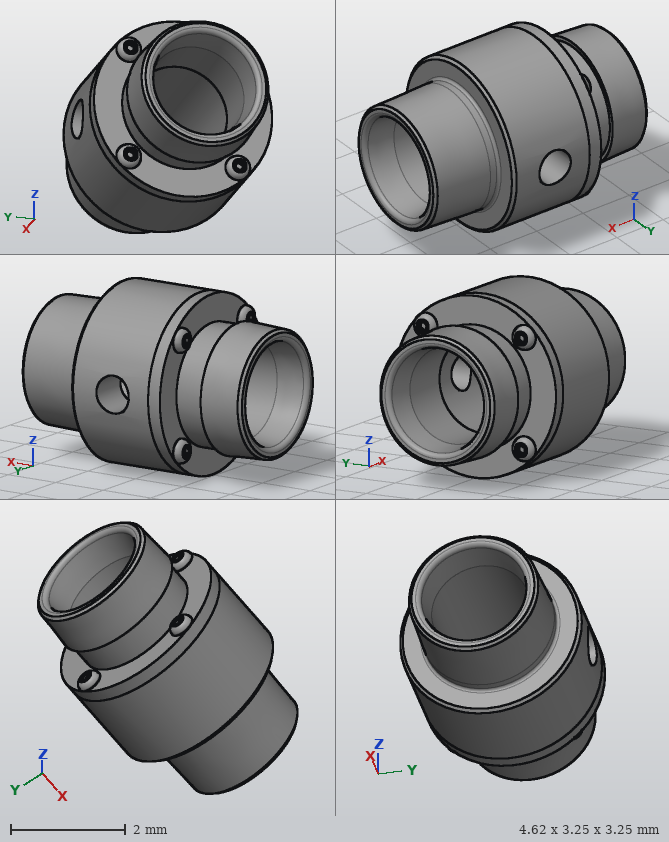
import cadquery as cq
import math

LENGTH = 4.62
INLET_BARB_END = 0.81
COVER_START = 1.37
COVER_THICKNESS = 0.25
JOINT = COVER_START + COVER_THICKNESS
HOUSING_END = 3.26
OUTLET_LAND_END = 3.45

BODY_RADIUS = 3.25 / 2
BORE_RADIUS = 1.75 / 2
NECK_RADIUS = 2.22 / 2
BARB_RADIUS = 2.385 / 2
TIP_RADIUS = 1.155

TIP_CHAMFER = 0.055
LIP_ROUND = 0.09
MOUTH_RADIUS = 0.94
MOUTH_DEPTH = 0.6

HOUSING_CHAMFER = 0.06
ROOT_FILLET = 0.055

QUARTER_ROUND_INSET = 1 - math.sqrt(0.5)
LIP_MIDDLE = LIP_ROUND * QUARTER_ROUND_INSET
ROOT_MIDDLE = ROOT_FILLET * QUARTER_ROUND_INSET

PORT_DIAMETER = 0.68
PORT_X = 2.37

SCREW_OFFSET = 0.995
HEAD_DIAMETER = 0.445
HEAD_TOP_DIAMETER = 0.25
HEAD_HEIGHT = 0.135
HEAD_RIM = 0.03
DOME_BULGE = 0.025
SOCKET_FLATS = 0.14
SOCKET_MOUTH_DIAMETER = 0.185
SOCKET_DEPTH = 0.07


def revolve_about_x(profile):
    """Turn a closed (x, radius) profile into a round body about the X axis."""
    return profile.close().revolve(360, (0, 0, 0), (1, 0, 0))


def make_cover():
    """Inlet barb, neck and round cover plate in one piece."""
    profile = (
        cq.Workplane("XY")
        .moveTo(0, MOUTH_RADIUS + LIP_ROUND)
        .lineTo(0, TIP_RADIUS - TIP_CHAMFER)
        .lineTo(TIP_CHAMFER, TIP_RADIUS)
        .lineTo(INLET_BARB_END, BARB_RADIUS)
        .lineTo(INLET_BARB_END, NECK_RADIUS)
        .lineTo(COVER_START, NECK_RADIUS)
        .lineTo(COVER_START, BODY_RADIUS)
        .lineTo(JOINT, BODY_RADIUS)
        .lineTo(JOINT, BORE_RADIUS)
        .lineTo(MOUTH_DEPTH, BORE_RADIUS)
        .lineTo(LIP_ROUND, MOUTH_RADIUS)
        .threePointArc((LIP_MIDDLE, MOUTH_RADIUS + LIP_MIDDLE), (0, MOUTH_RADIUS + LIP_ROUND))
    )
    return revolve_about_x(profile)


def make_housing():
    """Round housing with the outlet barb and a radial port into the bore."""
    profile = (
        cq.Workplane("XY")
        .moveTo(JOINT, BORE_RADIUS)
        .lineTo(JOINT, BODY_RADIUS)
        .lineTo(HOUSING_END - HOUSING_CHAMFER, BODY_RADIUS)
        .lineTo(HOUSING_END, BODY_RADIUS - HOUSING_CHAMFER)
        .lineTo(HOUSING_END, BARB_RADIUS + ROOT_FILLET)
        .threePointArc(
            (HOUSING_END + ROOT_MIDDLE, BARB_RADIUS + ROOT_MIDDLE),
            (HOUSING_END + ROOT_FILLET, BARB_RADIUS),
        )
        .lineTo(OUTLET_LAND_END, BARB_RADIUS)
        .lineTo(LENGTH - TIP_CHAMFER, TIP_RADIUS)
        .lineTo(LENGTH, TIP_RADIUS - TIP_CHAMFER)
        .lineTo(LENGTH, MOUTH_RADIUS + LIP_ROUND)
        .threePointArc(
            (LENGTH - LIP_MIDDLE, MOUTH_RADIUS + LIP_MIDDLE),
            (LENGTH - LIP_ROUND, MOUTH_RADIUS),
        )
        .lineTo(LENGTH - MOUTH_DEPTH, BORE_RADIUS)
    )
    port = cq.Workplane("XZ").center(PORT_X, 0).circle(PORT_DIAMETER / 2).extrude(-BODY_RADIUS)
    return revolve_about_x(profile).cut(port)


def make_screw(y, z):
    """Domed screw head with a hexagon socket, seated on the cover face at (y, z)."""
    tip = COVER_START - HEAD_HEIGHT
    rim = COVER_START - HEAD_RIM
    top_radius = HEAD_TOP_DIAMETER / 2
    head_radius = HEAD_DIAMETER / 2
    dome_rise = rim - tip
    dome_spread = head_radius - top_radius
    chord = math.hypot(dome_rise, dome_spread)
    dome_middle = (
        (tip + rim) / 2 - DOME_BULGE * dome_spread / chord,
        (top_radius + head_radius) / 2 + DOME_BULGE * dome_rise / chord,
    )
    head = revolve_about_x(
        cq.Workplane("XY")
        .moveTo(tip, 0)
        .lineTo(tip, top_radius)
        .threePointArc(dome_middle, (rim, head_radius))
        .lineTo(COVER_START, head_radius)
        .lineTo(COVER_START, 0)
    )
    corner_diameter = SOCKET_FLATS / math.cos(math.pi / 6)
    socket = (
        cq.Workplane("YZ", origin=(tip, 0, 0))
        .transformed(rotate=(0, 0, 90))
        .polygon(6, corner_diameter)
        .extrude(SOCKET_DEPTH)
    )
    mouth_radius = SOCKET_MOUTH_DIAMETER / 2
    countersink = revolve_about_x(
        cq.Workplane("XY").moveTo(tip, 0).lineTo(tip, mouth_radius).lineTo(tip + mouth_radius / 2, 0)
    )
    return head.cut(socket).cut(countersink).translate((0, y, z))


cover = make_cover()
housing = make_housing()
screws = [
    make_screw(side_y * SCREW_OFFSET, side_z * SCREW_OFFSET)
    for side_y in (-1, 1)
    for side_z in (-1, 1)
]

result = cq.Compound.makeCompound([cover.val(), housing.val(), *[screw.val() for screw in screws]])